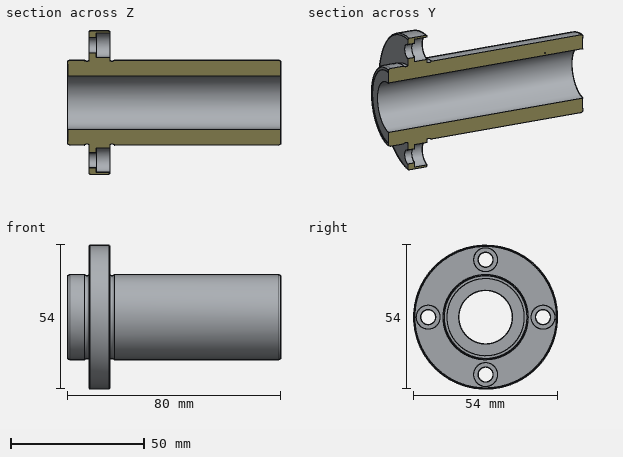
import cadquery as cq

length = 80.0
barrel_diameter = 32.0
barrel_radius = barrel_diameter / 2
bore_diameter = 20.0

flange_diameter = 54.0
flange_start = 8.0
flange_thickness = 8.0
flange_end = flange_start + flange_thickness
flange_chamfer = 0.5

relief_width = 2.0
relief_overlap = 0.3
relief_depth = 0.4
front_relief_start = flange_start + relief_overlap - relief_width
rear_relief_start = flange_end - relief_overlap

bevel_length = 1.0
bevel_height = 0.52
bevel_crown = 0.1

seal_diameter = 29.0
seal_recess_depth = 0.1

hole_count = 4
hole_diameter = 5.5
counterbore_diameter = 9.0
counterbore_depth = 5.1
bolt_circle_diameter = 43.0


def cylinder(diameter, start, end):
    """Solid cylinder on the X axis between two X positions."""
    return (
        cq.Workplane("YZ", origin=(start, 0, 0))
        .circle(diameter / 2)
        .extrude(end - start)
    )


def make_barrel():
    """Revolved barrel with bevelled ends and a relief groove on each side of the flange."""
    end_radius = barrel_radius - bevel_height
    bevel_middle_x = bevel_length / 2
    bevel_middle_radius = (barrel_radius + end_radius) / 2 + bevel_crown
    profile = (
        cq.Workplane("XY")
        .lineTo(0, end_radius)
        .threePointArc((bevel_middle_x, bevel_middle_radius), (bevel_length, barrel_radius))
    )
    for groove_start in (front_relief_start, rear_relief_start):
        groove_middle = (groove_start + relief_width / 2, barrel_radius - relief_depth)
        groove_end = (groove_start + relief_width, barrel_radius)
        profile = profile.lineTo(groove_start, barrel_radius).threePointArc(groove_middle, groove_end)
    return (
        profile
        .lineTo(length - bevel_length, barrel_radius)
        .threePointArc((length - bevel_middle_x, bevel_middle_radius), (length, end_radius))
        .lineTo(length, 0)
        .close()
        .revolve(360, (0, 0, 0), (1, 0, 0))
    )


def make_flange():
    """Round flange with both outer edges chamfered."""
    return cylinder(flange_diameter, flange_start, flange_end).edges().chamfer(flange_chamfer)


def make_hole_cutters():
    """Counterbored mounting holes, spaced evenly around the flange."""
    hole = cylinder(hole_diameter, flange_start, flange_end)
    counterbore = cylinder(counterbore_diameter, flange_end - counterbore_depth, flange_end)
    cutter = hole.union(counterbore).translate((0, 0, bolt_circle_diameter / 2))
    return [
        cutter.rotate((0, 0, 0), (1, 0, 0), index * 360 / hole_count)
        for index in range(hole_count)
    ]


body = make_barrel().union(make_flange())

body = body.cut(cylinder(bore_diameter, 0, length))
body = body.cut(cylinder(seal_diameter, 0, seal_recess_depth))
body = body.cut(cylinder(seal_diameter, length - seal_recess_depth, length))

for hole_cutter in make_hole_cutters():
    body = body.cut(hole_cutter)

result = body